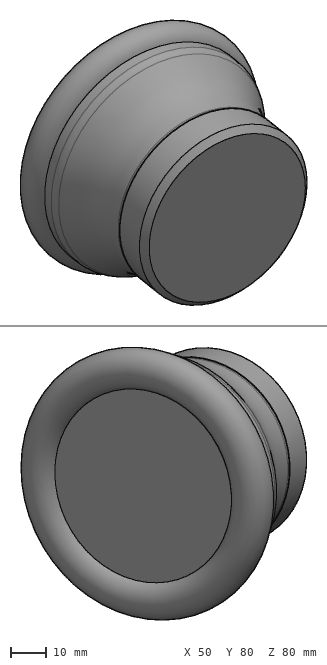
import cadquery as cq
import math

LENGTH = 50.0
RING_DIAMETER = 80.0

TUBE_RADIUS = 6.0
TUBE_CENTRE_RADIUS = RING_DIAMETER / 2 - TUBE_RADIUS
TUBE_CENTRE_X = TUBE_RADIUS

FACE_X = 3.5
BAND_RADIUS = 73.1 / 2
BAND_END_X = 14.7
SHOULDER_RADIUS = 4.0
FLARE_RADIUS = 32.0
NECK_RADIUS = 57.6 / 2
NECK_LENGTH = 0.9
COLLAR_RADIUS = 58.0 / 2
END_CHAMFER = 2.0


def tube_point(angle):
    """Point (x, radius) on the ring's section; the angle starts at the axial direction."""
    return (
        TUBE_CENTRE_X + TUBE_RADIUS * math.cos(angle),
        TUBE_CENTRE_RADIUS + TUBE_RADIUS * math.sin(angle),
    )


def make_ring():
    section = cq.Workplane("XY").center(TUBE_CENTRE_X, TUBE_CENTRE_RADIUS).circle(TUBE_RADIUS)
    return section.revolve(360, (0, -TUBE_CENTRE_RADIUS, 0), (1, -TUBE_CENTRE_RADIUS, 0))


def make_knob():
    seat_start_angle = -math.acos((FACE_X - TUBE_CENTRE_X) / TUBE_RADIUS)
    seat_end_angle = math.asin((BAND_RADIUS - TUBE_CENTRE_RADIUS) / TUBE_RADIUS)
    seat_start = tube_point(seat_start_angle)
    seat_middle = tube_point((seat_start_angle + seat_end_angle) / 2)
    seat_end = tube_point(seat_end_angle)

    radius_sum = SHOULDER_RADIUS + FLARE_RADIUS
    turn = math.acos(1 - (BAND_RADIUS - NECK_RADIUS) / radius_sum)
    shoulder_end = (
        BAND_END_X + SHOULDER_RADIUS * math.sin(turn),
        BAND_RADIUS - SHOULDER_RADIUS * (1 - math.cos(turn)),
    )
    neck_start_x = BAND_END_X + radius_sum * math.sin(turn)
    collar_start_x = neck_start_x + NECK_LENGTH

    profile = (
        cq.Workplane("XY")
        .moveTo(FACE_X, 0)
        .lineTo(*seat_start)
        .threePointArc(seat_middle, seat_end)
        .lineTo(BAND_END_X, BAND_RADIUS)
        .tangentArcPoint(shoulder_end, relative=False)
        .tangentArcPoint((neck_start_x, NECK_RADIUS), relative=False)
        .lineTo(collar_start_x, NECK_RADIUS)
        .lineTo(collar_start_x, COLLAR_RADIUS)
        .lineTo(LENGTH - END_CHAMFER, COLLAR_RADIUS)
        .lineTo(LENGTH, COLLAR_RADIUS - END_CHAMFER)
        .lineTo(LENGTH, 0)
    )
    return profile.close().revolve(360, (0, 0, 0), (1, 0, 0))


ring = make_ring()
knob = make_knob()
result = cq.Compound.makeCompound([ring.val(), knob.val()])